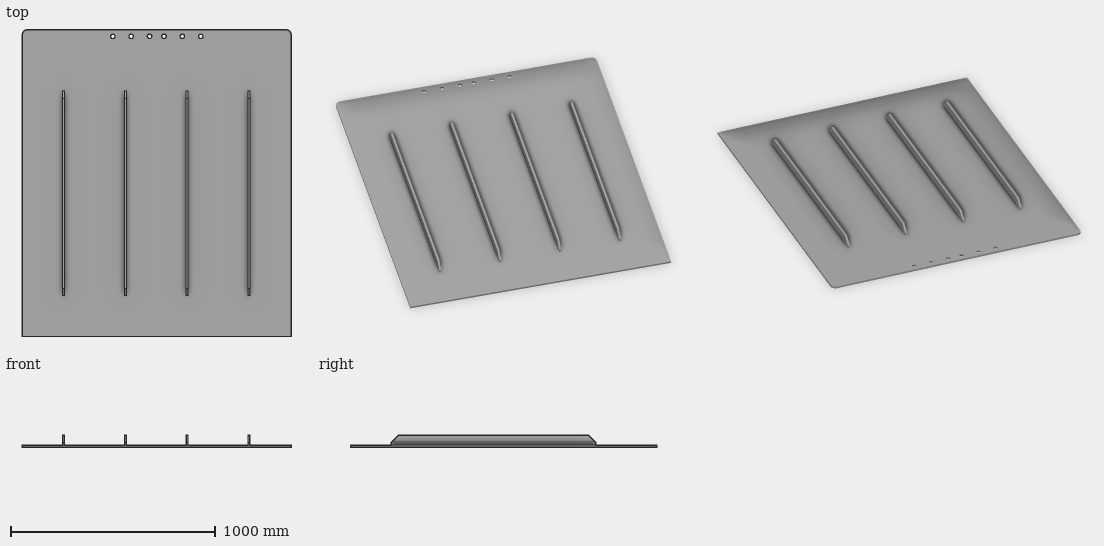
import cadquery as cq

plate_width = 1315
plate_length = 1500
plate_thickness = 10
corner_radius = 25

total_height = 60
rib_height = total_height - plate_thickness
rib_thickness = 10
rib_length = 1000
rib_count = 4
rib_pitch = 302
rib_side_margin = 197
rib_front_margin = 200
rib_end_chamfer = 36

hole_diameter = 21
hole_edge_distance = 32.5
holes_per_side = 3
hole_pitch = 90
inner_hole_offset = 35


def make_plate():
    """Flat plate with its two back corners rounded."""
    plate = cq.Workplane("XY").box(
        plate_width, plate_length, plate_thickness, centered=(True, True, False)
    )
    return plate.edges("|Z and >Y").fillet(corner_radius)


def make_rib(center_x):
    """Upright rib with both upper ends cut off at 45 degrees."""
    rib_front_y = -plate_length / 2 + rib_front_margin
    rib_center_y = rib_front_y + rib_length / 2
    rib = cq.Workplane("XY").box(
        rib_thickness, rib_length, rib_height, centered=(True, True, False)
    )
    rib = rib.faces(">Z").edges("|X").chamfer(rib_end_chamfer)
    return rib.translate((center_x, rib_center_y, plate_thickness))


def drill_holes(body):
    """Through holes in a row parallel to the back edge."""
    hole_y = plate_length / 2 - hole_edge_distance
    centers = []
    for index in range(holes_per_side):
        hole_x = inner_hole_offset + index * hole_pitch
        centers.append((-hole_x, hole_y))
        centers.append((hole_x, hole_y))
    cutter = (
        cq.Workplane("XY")
        .pushPoints(centers)
        .circle(hole_diameter / 2)
        .extrude(plate_thickness)
    )
    return body.cut(cutter)


first_rib_x = -plate_width / 2 + rib_side_margin + rib_thickness / 2

result = drill_holes(make_plate())
for rib_index in range(rib_count):
    result = result.union(make_rib(first_rib_x + rib_index * rib_pitch))